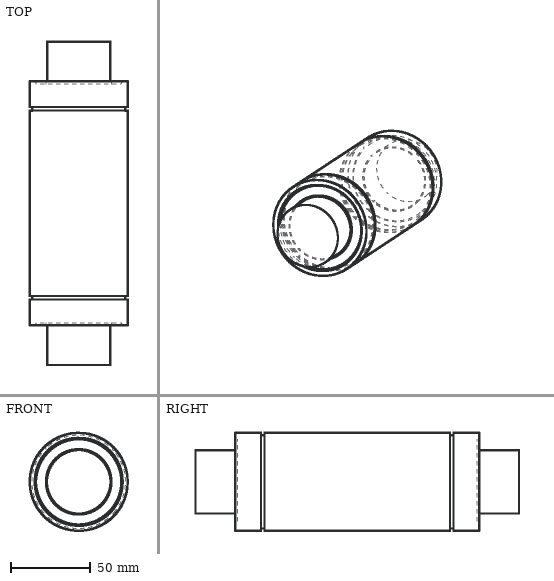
import cadquery as cq


shaft_diameter = 40.0
shaft_length = 204.0

sleeve_diameter = 62.0
sleeve_length = 154.0
edge_chamfer = 0.2

groove_diameter = 59.0
groove_width = 2.1
groove_outer_span = 121.2

seal_diameter = 53.65
mouth_diameter = 55.65
seal_recess = 1.65
lip_diameter = 41.4
lip_height = 1.0

ends = (-1, 1)


def make_disc(diameter, start, end):
    """Cylinder on the Y axis between two Y positions."""
    return cq.Workplane("XZ", origin=(0, start, 0)).circle(diameter / 2).extrude(start - end)


def make_ring(outer_diameter, inner_diameter, start, end):
    """Tube on the Y axis between two Y positions."""
    return make_disc(outer_diameter, start, end).cut(make_disc(inner_diameter, start, end))


def make_sleeve():
    """Solid of revolution with lightly bevelled outer end edges."""
    radius = sleeve_diameter / 2
    end_radius = radius - edge_chamfer
    half_length = sleeve_length / 2
    shoulder = half_length - edge_chamfer
    profile = (
        cq.Workplane("XY")
        .moveTo(0, -half_length)
        .lineTo(end_radius, -half_length)
        .lineTo(radius, -shoulder)
        .lineTo(radius, shoulder)
        .lineTo(end_radius, half_length)
        .lineTo(0, half_length)
        .close()
    )
    return profile.revolve(360, (0, 0, 0), (0, 1, 0))


def make_groove(end):
    """Retaining ring groove near one end of the sleeve."""
    outer_edge = end * groove_outer_span / 2
    inner_edge = outer_edge - end * groove_width
    return make_ring(sleeve_diameter, groove_diameter, inner_edge, outer_edge)


def make_seal_recess(end):
    """Tapered mouth down to the seal face, at one end of the sleeve."""
    face = end * sleeve_length / 2
    seal_face = face - end * seal_recess
    profile = (
        cq.Workplane("XY")
        .moveTo(0, face)
        .lineTo(mouth_diameter / 2, face)
        .lineTo(seal_diameter / 2, seal_face)
        .lineTo(0, seal_face)
        .close()
    )
    return profile.revolve(360, (0, 0, 0), (0, 1, 0))


def make_seal_lip(end):
    """Low collar that stands on the seal face around the shaft."""
    seal_face = end * (sleeve_length / 2 - seal_recess)
    lip_face = seal_face + end * lip_height
    return make_disc(lip_diameter, seal_face, lip_face)


bearing = make_sleeve()
for end in ends:
    bearing = bearing.cut(make_groove(end))
    bearing = bearing.cut(make_seal_recess(end))
    bearing = bearing.union(make_seal_lip(end))

shaft = make_disc(shaft_diameter, -shaft_length / 2, shaft_length / 2)
result = bearing.union(shaft)